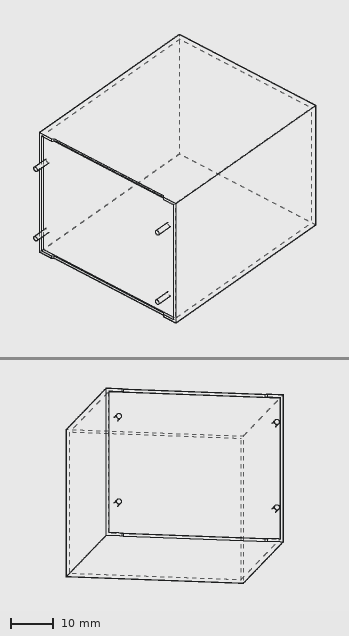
import cadquery as cq

case_width = 42.0
case_height = 35.0
case_length = 50.0
wall = 0.7
cavity_width = case_width - 2 * wall
cavity_height = case_height - 2 * wall
cavity_end = case_length - wall

relief_depth = 0.45
relief_width = 34.45
relief_floor_width = relief_width - 2 * relief_depth

core_recess = 0.7
core_length = cavity_end - core_recess

total_length = 54.0
pin_diameter = 1.2
pin_length = total_length - case_length + core_recess
pin_pitch_x = 37.5
pin_pitch_z = 20.3
root_fillet = 0.5


def box_along_y(width, height, length, start):
    """Box centred on X and Z that runs from Y = start towards +Y."""
    return cq.Workplane("XY").box(width, length, height, centered=(True, False, True)).translate((0, start, 0))


def make_mouth_relief():
    """Trapezoidal bar that cuts the relief across both long walls."""
    return (
        cq.Workplane("XY")
        .workplane(offset=-case_height / 2)
        .moveTo(-relief_width / 2, 0)
        .lineTo(relief_width / 2, 0)
        .lineTo(relief_floor_width / 2, relief_depth)
        .lineTo(-relief_floor_width / 2, relief_depth)
        .close()
        .extrude(case_height)
    )


def make_case():
    shell = box_along_y(case_width, case_height, case_length, 0)
    cavity = box_along_y(cavity_width, cavity_height, cavity_end, 0)
    return shell.cut(cavity).cut(make_mouth_relief())


def make_pin(x, z):
    """Pin with its root fillet, pointing towards -Y from the core face."""
    pin_radius = pin_diameter / 2
    profile = (
        cq.Workplane("XY")
        .lineTo(pin_radius + root_fillet, 0)
        .radiusArc((pin_radius, -root_fillet), -root_fillet)
        .lineTo(pin_radius, -pin_length)
        .lineTo(0, -pin_length)
        .close()
    )
    pin = profile.revolve(360, (0, 0, 0), (0, 1, 0))
    return pin.translate((x, core_recess, z))


def make_potted_core():
    core = box_along_y(cavity_width, cavity_height, core_length, core_recess)
    for x in (-pin_pitch_x / 2, pin_pitch_x / 2):
        for z in (-pin_pitch_z / 2, pin_pitch_z / 2):
            core = core.union(make_pin(x, z))
    return core


case = make_case()
potted_core = make_potted_core()

result = cq.Compound.makeCompound([case.val(), potted_core.val()])